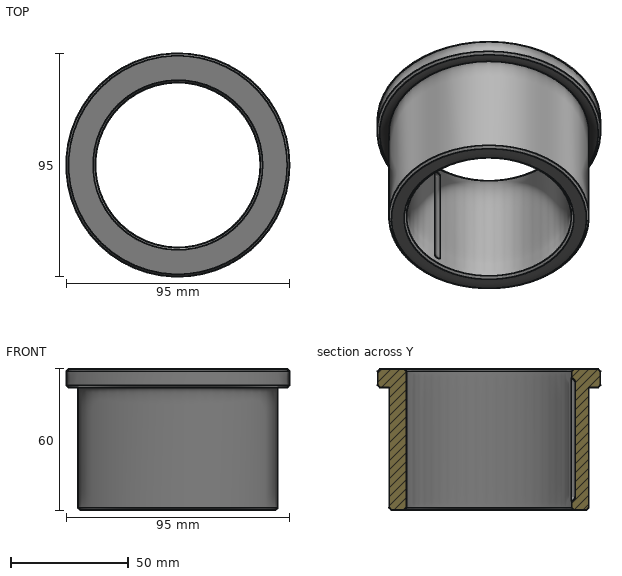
import cadquery as cq

flange_diameter = 95.0
body_diameter = 85.0
bore_diameter = 70.0
total_height = 60.0
flange_thickness = 8.0
edge_chamfer = 1.0
groove_diameter = 3.0
groove_end_margin = 4.0

body_height = total_height - flange_thickness


def cylinder(diameter, height, base_z):
    """Upright cylinder centred on the Z axis."""
    return cq.Workplane("XY").workplane(offset=base_z).circle(diameter / 2).extrude(height)


def make_body():
    """Sleeve body with a chamfered lower rim."""
    return cylinder(body_diameter, body_height, 0).faces("<Z").edges().chamfer(edge_chamfer)


def make_flange():
    """Top flange with both outer rims chamfered."""
    return cylinder(flange_diameter, flange_thickness, body_height).edges().chamfer(edge_chamfer)


def make_bore():
    """Through bore, widened by a chamfer at each end."""
    bore = cylinder(bore_diameter, total_height, 0)
    mouth_diameter = bore_diameter + 2 * edge_chamfer
    lower_mouth = cylinder(mouth_diameter, 2 * edge_chamfer, -edge_chamfer)
    lower_mouth = lower_mouth.faces(">Z").edges().chamfer(edge_chamfer)
    upper_mouth = lower_mouth.mirror("XY").translate((0, 0, total_height))
    return bore.union(lower_mouth).union(upper_mouth)


def make_groove():
    """Half-round axial groove in the +X bore wall, closed by ball ends."""
    radius = groove_diameter / 2
    lower_center = groove_end_margin + radius
    upper_center = total_height - lower_center
    groove = cylinder(groove_diameter, upper_center - lower_center, lower_center)
    for center_z in (lower_center, upper_center):
        groove = groove.union(cq.Workplane("XY").sphere(radius).translate((0, 0, center_z)))
    return groove.translate((bore_diameter / 2, 0, 0))


result = make_body().union(make_flange()).cut(make_bore()).cut(make_groove())